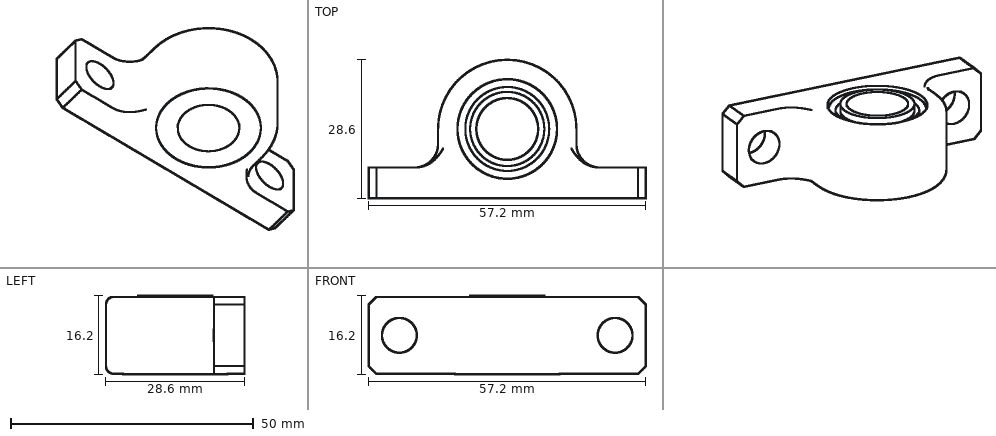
import cadquery as cq

foot_length = 57.15
foot_thickness = 6.35
housing_width = 15.875
half_width = housing_width / 2
corner_chamfer = 1.5875

boss_radius = 14.2875
bore_axis_y = 14.2875
boss_edge_fillet = 1.5875
neck_radius = 4.7625

mount_hole_diameter = 7.14
mount_hole_spacing = 44.45

shaft_diameter = 12.7
collar_diameter = 15.3
bearing_diameter = 21.6
lip_diameter = 20.6
shelf_depth = 1.3
collar_protrusion = 0.25
bottom_protrusion = 0.105

ring_wire_radius = 0.79
ring_mean_radius = 9.45

shelf_z = half_width - shelf_depth
bearing_bottom_z = -half_width - bottom_protrusion
collar_top_z = half_width + collar_protrusion


def z_cylinder(diameter, z_start, z_end):
    """Cylinder on the bore axis between two heights."""
    base = cq.Workplane("XY", origin=(0, bore_axis_y, z_start))
    return base.circle(diameter / 2).extrude(z_end - z_start)


def make_foot():
    foot = cq.Workplane("XY").box(
        foot_length, foot_thickness, housing_width, centered=(True, False, True)
    )
    return foot.edges("|Y").chamfer(corner_chamfer)


def make_boss():
    """Round-topped block with its outer edges filleted on both faces."""
    boss = (
        cq.Workplane("XY", origin=(0, 0, -half_width))
        .moveTo(-boss_radius, 0)
        .lineTo(-boss_radius, bore_axis_y)
        .threePointArc((0, bore_axis_y + boss_radius), (boss_radius, bore_axis_y))
        .lineTo(boss_radius, 0)
        .close()
        .extrude(housing_width)
    )
    rounded_edges = boss.faces("|Z").edges("not(<Y)")
    return rounded_edges.fillet(boss_edge_fillet)


def make_neck():
    """Concave blend from the foot to the +X side of the boss.

    The blend follows the boss side, then turns around its filleted edges and
    runs out in the flat faces of the housing.
    """
    fillet_axis_x = boss_radius - boss_edge_fillet
    fillet_axis_z = half_width - boss_edge_fillet
    neck_top_y = foot_thickness + neck_radius
    neck_end_x = boss_radius + neck_radius
    arc_offset = neck_radius * (1 - 0.5**0.5)
    arc_middle = (boss_radius + arc_offset, foot_thickness + arc_offset)

    def profile(z):
        """Closed blend outline at height z."""
        return (
            cq.Workplane("XY", origin=(0, 0, z))
            .moveTo(fillet_axis_x, foot_thickness)
            .lineTo(neck_end_x, foot_thickness)
            .threePointArc(arc_middle, (boss_radius, neck_top_y))
            .lineTo(fillet_axis_x, neck_top_y)
            .close()
        )

    neck = profile(-fillet_axis_z).extrude(2 * fillet_axis_z)
    for z in (-fillet_axis_z, fillet_axis_z):
        turn = profile(z).revolve(360, (fillet_axis_x, 0, 0), (fillet_axis_x, 1, 0))
        neck = neck.union(turn)
    flat_faces = cq.Workplane("XY").box(
        neck_end_x, neck_top_y, housing_width, centered=(False, False, True)
    ).translate((fillet_axis_x, 0, 0))
    return neck.intersect(flat_faces)


def make_housing():
    plus_x_neck = make_neck()
    minus_x_neck = plus_x_neck.mirror("YZ")
    housing = make_foot().union(make_boss()).union(plus_x_neck).union(minus_x_neck)
    mount_holes = (
        cq.Workplane("XZ")
        .pushPoints([(-mount_hole_spacing / 2, 0), (mount_hole_spacing / 2, 0)])
        .circle(mount_hole_diameter / 2)
        .extrude(-boss_radius)
    )
    bearing_seat = z_cylinder(bearing_diameter, -half_width, shelf_z)
    lip_bore = z_cylinder(lip_diameter, shelf_z, half_width)
    return housing.cut(mount_holes).cut(bearing_seat).cut(lip_bore)


def make_bearing():
    bearing = z_cylinder(bearing_diameter, bearing_bottom_z, shelf_z)
    bearing = bearing.union(z_cylinder(collar_diameter, shelf_z, collar_top_z))
    ring = (
        cq.Workplane("XZ", origin=(0, bore_axis_y, 0))
        .center(ring_mean_radius, shelf_z)
        .circle(ring_wire_radius)
        .revolve(360, (-ring_mean_radius, 0, 0), (-ring_mean_radius, 1, 0))
    )
    bearing = bearing.union(ring)
    return bearing.cut(z_cylinder(shaft_diameter, bearing_bottom_z, collar_top_z))


housing = make_housing()
bearing = make_bearing()

result = cq.Compound.makeCompound([housing.val(), bearing.val()])